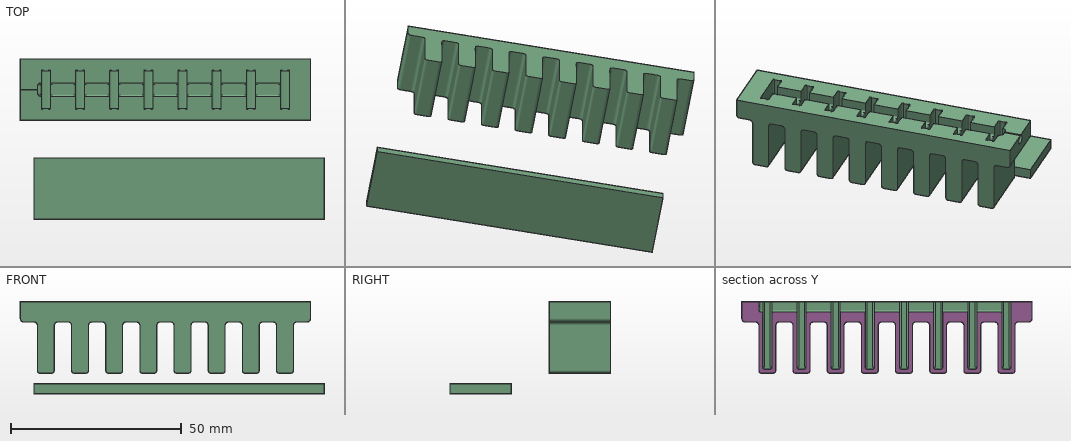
import cadquery as cq

body_length = 85.0
body_width = 18.0
header_height = 6.0
header_corner_radius = 1.0
fin_count = 8
fin_thickness = 5.0
fin_gap = 5.0
fin_height = 15.0
fin_root_radius = 1.0
fin_tip_radius = 0.8

fin_pitch = fin_thickness + fin_gap
first_fin_center = fin_gap + fin_thickness / 2
fin_centers = [first_fin_center + i * fin_pitch for i in range(fin_count)]
body_height = header_height + fin_height
mid_y = body_width / 2

fin_wall = 1.2
slot_width = fin_thickness - 2 * fin_wall
slot_length = 11.0
slot_floor_radius = 0.6
slot_depth = body_height - fin_wall
corner_relief_radius = 0.25

channel_width = 4.0
channel_depth = 3.0
channel_floor_radius = 0.5
channel_corner_radius = 1.2
channel_start = 5.0
channel_end = fin_centers[-1]
channel_mouth_radius = 0.45

inlet_radius = 1.35
inlet_breakthrough = 0.001
inlet_center_z = inlet_breakthrough - inlet_radius
inlet_length = channel_start + channel_corner_radius

plate_thickness = 3.0
plate_shift_x = 4.0
plate_gap_y = 11.0
plate_gap_z = 3.0


def block(x_start, x_size, y_size, z_top, z_size):
    """Box centred on the body's width, hanging down from z_top."""
    return cq.Workplane("XY").box(x_size, y_size, z_size, centered=(False, True, False)).translate(
        (x_start, mid_y, z_top - z_size)
    )


def make_blank():
    """Header and fins with their rounded corners, without cavities."""
    blank = block(0, body_length, body_width, 0, header_height)
    for center in fin_centers:
        fin = block(center - fin_thickness / 2, fin_thickness, body_width, -header_height, fin_height)
        blank = blank.union(fin)

    blank = blank.edges("|Y").edges("<Z").fillet(fin_tip_radius)
    margin = 0.1
    root_zone = cq.selectors.BoxSelector(
        (margin, -margin, -header_height - margin),
        (body_length - margin, body_width + margin, -header_height + margin),
    )
    blank = blank.edges("|Y").edges(root_zone).fillet(fin_root_radius)
    header_ends = cq.selectors.BoxSelector(
        (-margin, -margin, -header_height - margin),
        (body_length + margin, body_width + margin, -header_height + margin),
    )
    return blank.edges("|Y").edges("<X or >X").edges(header_ends).fillet(header_corner_radius)


def make_slot(center):
    """Deep slot with rounded long floor edges and a relief bore in each corner."""
    slot = block(center - slot_width / 2, slot_width, slot_length, 0, slot_depth)
    slot = slot.edges("|Y and <Z").fillet(slot_floor_radius)
    relief_x = slot_width / 2 - corner_relief_radius
    relief_y = slot_length / 2
    relief_depth = slot_depth - slot_floor_radius
    reliefs = (
        cq.Workplane("XY", origin=(center, mid_y, 0))
        .rect(2 * relief_x, 2 * relief_y, forConstruction=True)
        .vertices()
        .circle(corner_relief_radius)
        .extrude(-relief_depth)
    )
    return slot.union(reliefs)


def make_channel():
    """Shallow channel with rounded inlet corners and a filleted floor."""
    channel = block(channel_start, channel_end - channel_start, channel_width, 0, channel_depth)
    channel = channel.edges("|Z and <X").fillet(channel_corner_radius)
    return channel.faces("<Z").edges("not >X").fillet(channel_floor_radius)


def make_mouth(edge_x, side):
    """Cutter that rounds the channel floor over into a slot wall at edge_x.

    side is +1 when the floor lies on the +X side of the wall, -1 otherwise.
    """
    r = channel_mouth_radius
    arc_mid = r * (1 - 0.5 ** 0.5)
    return (
        cq.Workplane("XZ", origin=(edge_x, mid_y, -channel_depth))
        .moveTo(0, 0)
        .lineTo(side * r, 0)
        .threePointArc((side * arc_mid, -arc_mid), (0, -r))
        .close()
        .extrude(channel_width / 2 - channel_floor_radius, both=True)
    )


def make_inlet():
    """Bore from the -X end face into the channel."""
    return cq.Workplane("YZ", origin=(0, mid_y, inlet_center_z)).circle(inlet_radius).extrude(inlet_length)


def make_finned_body():
    body = make_blank().cut(make_channel()).cut(make_inlet())
    for center in fin_centers:
        body = body.cut(make_slot(center))
        body = body.cut(make_mouth(center - slot_width / 2, -1))
        if center != fin_centers[-1]:
            body = body.cut(make_mouth(center + slot_width / 2, 1))
    return body


def make_cover_plate():
    """Plain plate of the header's length and width, set aside below and in front."""
    plate_y = -plate_gap_y - body_width
    plate_z = -body_height - plate_gap_z - plate_thickness
    return cq.Workplane("XY", origin=(plate_shift_x, plate_y, plate_z)).box(
        body_length, body_width, plate_thickness, centered=False
    )


finned_body = make_finned_body()
cover_plate = make_cover_plate()
result = cq.Compound.makeCompound([finned_body.val(), cover_plate.val()])